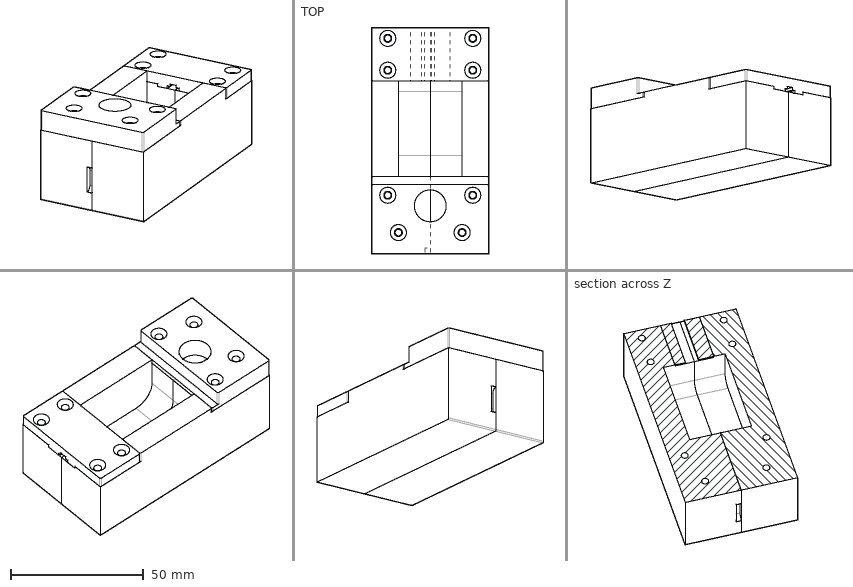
import cadquery as cq

length = 85.0
width = 44.0
base_height = 30.5
overall_height = 36.6
edge_radius = 0.5

pocket_width = 24.0
pocket_length = 36.0
pocket_floor = 9.9
pocket_front_radius = 8.0
pocket_rear_radius = 4.0

recess_width = 2.0
recess_depth = 2.1
recess_radius = 2.0
recess_bottom = 7.4
recess_height = 10.2

rear_plate_length = 20.0
rear_plate_thickness = 4.4
front_plate_thickness = 8.0
ledge_length = 3.0

tongue_width = 15.0
tongue_depth = 1.0
groove_width = 5.0
groove_slot_width = 2.7
groove_centre = -0.85
groove_slot_height = 1.0

screw_diameter = 3.0
pilot_diameter = 2.5
pilot_depth = 10.0
countersink_diameter = 6.0
countersink_angle = 90
screw_x = 16.0
front_screw_x = 12.0
rear_screw_gap = 4.0
front_screw_y = 8.0
middle_screw_y = 22.0
bore_diameter = 12.0
bore_y = 18.0

rear_plate_start = length - rear_plate_length
front_plate_length = rear_plate_start - pocket_length
front_seat = overall_height - front_plate_thickness
rear_seat = base_height - rear_plate_thickness


def mirrored_pair(x, y):
    return [(-x, y), (x, y)]


rear_screws = (
    mirrored_pair(screw_x, rear_plate_start + rear_screw_gap)
    + mirrored_pair(screw_x, length - rear_screw_gap)
)
front_screws = mirrored_pair(front_screw_x, front_screw_y) + mirrored_pair(screw_x, middle_screw_y)


def block(x_size, y_range, z_range, x_centre=0):
    """Box centred on x_centre that spans the given Y and Z ranges."""
    y_start, y_end = y_range
    z_start, z_end = z_range
    return (
        cq.Workplane("XY", origin=(x_centre, (y_start + y_end) / 2, z_start))
        .rect(x_size, y_end - y_start)
        .extrude(z_end - z_start)
    )


def rounded_block(y_range, z_range):
    """Full-width block with rounded upright corners."""
    return block(width, y_range, z_range).edges("|Z").fillet(edge_radius)


def pilot_holes(points, seat):
    """Space of the screw holes that run down into the base from a plate's seat."""
    return (
        cq.Workplane("XY", origin=(0, 0, seat))
        .pushPoints(points)
        .circle(pilot_diameter / 2)
        .extrude(-pilot_depth)
    )


def drill_screw_holes(plate, points):
    """Countersunk holes through the plate from its top face."""
    return (
        plate.faces(">Z").workplane(origin=(0, 0, 0))
        .pushPoints(points)
        .cskHole(screw_diameter, countersink_diameter, countersink_angle)
    )


def tongue():
    """Strip along the underside of the rear plate, let into the base."""
    return block(tongue_width, (rear_plate_start, length), (rear_seat - tongue_depth, rear_seat))


def make_rear_plate():
    y_range = (rear_plate_start, length)
    plate = rounded_block(y_range, (rear_seat, base_height))
    plate = drill_screw_holes(plate, rear_screws)
    groove = block(groove_width, y_range, (rear_seat - tongue_depth, rear_seat), groove_centre)
    groove_slot = block(
        groove_slot_width, y_range, (rear_seat, rear_seat + groove_slot_height), groove_centre
    )
    return plate.union(tongue()).cut(groove).cut(groove_slot)


def make_front_plate():
    ledge = rounded_block((0, front_plate_length), (front_seat, base_height))
    raised = rounded_block((0, front_plate_length - ledge_length), (front_seat, overall_height))
    plate = drill_screw_holes(ledge.union(raised), front_screws)
    bore = (
        cq.Workplane("XY", origin=(0, bore_y, front_seat))
        .circle(bore_diameter / 2)
        .extrude(front_plate_thickness)
    )
    return plate.cut(bore)


def make_pocket():
    """Space of the pocket, rounded along the front and rear of its floor."""
    pocket = block(pocket_width, (front_plate_length, rear_plate_start), (pocket_floor, base_height))
    pocket = pocket.edges("<Y and <Z").fillet(pocket_front_radius)
    return pocket.edges(">Y and <Z").fillet(pocket_rear_radius)


def make_recess():
    """Space of the front recess, whose floor and ceiling curve into its back wall."""
    recess = block(
        recess_width, (0, recess_depth), (recess_bottom, recess_bottom + recess_height), -recess_width / 2
    )
    return recess.edges(">Y and |X").fillet(recess_radius)


def make_base():
    """Both halves of the base in one piece."""
    base = (
        block(width, (0, length), (0, base_height))
        .cut(block(width, (0, front_plate_length), (front_seat, base_height)))
        .cut(block(width, (rear_plate_start, length), (rear_seat, base_height)))
    )
    base = base.edges("|Z and (not <Y) and (not >Y)").fillet(edge_radius)
    base = base.edges("<Y and <Z").fillet(edge_radius)
    base = base.cut(pilot_holes(front_screws, front_seat)).cut(pilot_holes(rear_screws, rear_seat))
    return base.cut(tongue()).cut(make_pocket()).cut(make_recess())


def make_half(base, side):
    """Half of the base on the left (side = -1) or right (side = 1) of the split."""
    half_space = block(width / 2, (0, length), (0, base_height), side * width / 4)
    return base.intersect(half_space)


base = make_base()
left_half = make_half(base, -1)
right_half = make_half(base, 1)
rear_plate = make_rear_plate()
front_plate = make_front_plate()

result = cq.Compound.makeCompound(
    [left_half.val(), right_half.val(), rear_plate.val(), front_plate.val()]
)